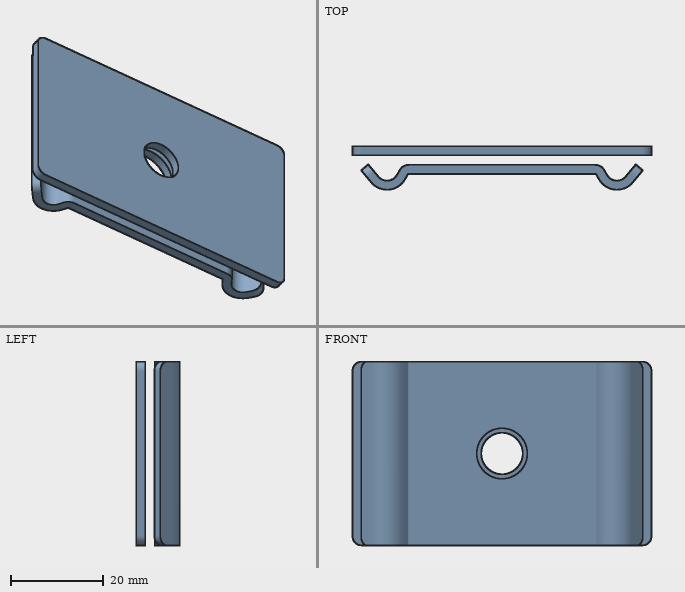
import cadquery as cq
import math

length = 65.0
height = 40.0
depth = 9.5
thickness = 2.0
gap = 2.0
corner_radius = 2.0
plate_hole_diameter = 9.0
clip_hole_diameter = 11.0

flat_half_length = 20.3
bend_radius = 0.2
bend_angle = 60.0
wave_radius = 2.5
tip_angle = 50.0
lip_length = 3.45

plate_front = -thickness
clip_back = plate_front - gap
clip_front = clip_back - thickness
wave_outer_radius = wave_radius + thickness

slope = math.radians(bend_angle)
curved_drop = (bend_radius + wave_outer_radius) * (1 - math.cos(slope))
web_length = (depth + clip_front - curved_drop) / math.sin(slope)

bend_centre = (flat_half_length, clip_front - bend_radius)
wave_centre = (
    flat_half_length
    + (bend_radius + wave_outer_radius) * math.sin(slope)
    + web_length * math.cos(slope),
    wave_outer_radius - depth,
)


def polar(centre, radius, degrees):
    """Point at a radius and an angle, measured counterclockwise from +X."""
    angle = math.radians(degrees)
    return (centre[0] + radius * math.cos(angle), centre[1] + radius * math.sin(angle))


def through_hole(diameter):
    """Cylinder along Y that passes through both bodies."""
    return cq.Workplane("XZ").circle(diameter / 2).extrude(depth)


def make_backing_plate():
    plate = cq.Workplane("XZ").rect(length, height).extrude(thickness)
    plate = plate.edges("|Y").fillet(corner_radius)
    return plate.cut(through_hole(plate_hole_diameter))


def make_half_clip():
    """The +X half of the bent strip, with its lip corners rounded."""
    bend_end = 90 - bend_angle
    bend_middle = 90 - bend_angle / 2
    wave_start = 270 - bend_angle
    wave_end = 270 + tip_angle
    bend_outer_radius = bend_radius + thickness
    lip_front_start = polar(wave_centre, wave_outer_radius, wave_end)
    lip_back_start = polar(wave_centre, wave_radius, wave_end)

    half = (
        cq.Workplane("XY", origin=(0, 0, -height / 2))
        .moveTo(0, clip_front)
        .lineTo(flat_half_length, clip_front)
        .threePointArc(polar(bend_centre, bend_radius, bend_middle),
                       polar(bend_centre, bend_radius, bend_end))
        .lineTo(*polar(wave_centre, wave_outer_radius, wave_start))
        .threePointArc(polar(wave_centre, wave_outer_radius, 270), lip_front_start)
        .lineTo(*polar(lip_front_start, lip_length, tip_angle))
        .lineTo(*polar(lip_back_start, lip_length, tip_angle))
        .lineTo(*lip_back_start)
        .threePointArc(polar(wave_centre, wave_radius, 270),
                       polar(wave_centre, wave_radius, wave_start))
        .lineTo(*polar(bend_centre, bend_outer_radius, bend_end))
        .threePointArc(polar(bend_centre, bend_outer_radius, bend_middle),
                       (flat_half_length, clip_back))
        .lineTo(0, clip_back)
        .close()
        .extrude(height)
    )
    lip_end = half.faces(">X")
    return lip_end.edges("not |Z").fillet(corner_radius)


def make_clip():
    half = make_half_clip()
    clip = half.union(half.mirror("YZ")).clean()
    return clip.cut(through_hole(clip_hole_diameter))


backing_plate = make_backing_plate()
clip = make_clip()

result = cq.Compound.makeCompound([backing_plate.solids().val(), clip.solids().val()])